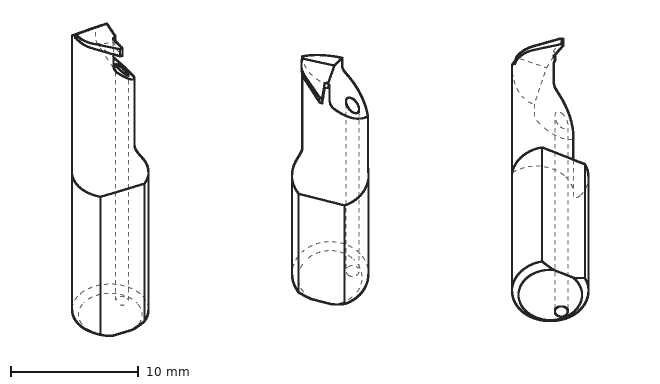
import cadquery as cq
import math

total_length = 30.0
shank_radius = 3.0
shank_flat_x = 2.35
base_chamfer = 0.5

shoulder_z = 15.05
neck_radius = 2.9
neck_center_x = -2.45
shoulder_fillet = 0.72

head_bottom_z = 29.22
head_back_y = 0.1
tip_x = 2.3
tip_y = 0.03
tip_land = 0.2
groove_start_x = 0.78
groove_bottom = (0.93, -0.18)
flank_end = (0.72, -1.83)
flank_middle = (-0.05, -2.37)
head_front = (-1.08, -2.55)
top_relief_angle = 3.6
bottom_relief_angle = 4.5
head_fillet = 0.18
under_head_corner = (0, -1.32, 29.35)

slant_size = 2.15

blend_start_z = 26.7
blend_radius = 1.65
slope_angle = 39.5

coolant_x = -1.08
coolant_y = 1.5
coolant_diameter = 1.02

margin = 1.5
reach = shank_radius + margin


def make_shank():
    """Full-length round bar with a chamfered base."""
    bar = cq.Workplane("XY").circle(shank_radius).extrude(total_length)
    return bar.faces("<Z").chamfer(base_chamfer)


def make_neck_envelope():
    """Everything kept by the neck cut: lower shank, concave flare and neck."""
    flare_radius = neck_radius + shoulder_fillet
    flare_top_z = shoulder_z + shoulder_fillet
    bend = shoulder_fillet * math.sqrt(0.5)
    outer_radius = 3 * shank_radius
    profile = (
        cq.Workplane("XZ")
        .lineTo(outer_radius, 0)
        .lineTo(outer_radius, shoulder_z)
        .lineTo(flare_radius, shoulder_z)
        .threePointArc((flare_radius - bend, flare_top_z - bend), (neck_radius, flare_top_z))
        .lineTo(neck_radius, total_length)
        .lineTo(0, total_length)
        .close()
    )
    return profile.revolve(360, (0, 0, 0), (0, 1, 0)).translate((neck_center_x, 0, 0))


def make_head():
    """Pointed cutting plate with a chip groove and relief on both faces."""
    plan = (
        cq.Workplane("XY")
        .moveTo(neck_center_x, head_back_y)
        .lineTo(groove_start_x, head_back_y)
        .lineTo(*groove_bottom)
        .lineTo(tip_x, tip_y)
        .lineTo(tip_x, tip_y - tip_land)
        .lineTo(*flank_end)
        .threePointArc(flank_middle, head_front)
        .lineTo(neck_center_x, head_back_y)
        .close()
        .extrude(total_length)
    )
    depth = head_back_y + reach
    bottom_rise = depth * math.tan(math.radians(bottom_relief_angle))
    side = (
        cq.Workplane("YZ")
        .polyline([
            (head_back_y, head_bottom_z),
            (head_back_y, total_length),
            (-reach, total_length),
            (-reach, head_bottom_z + bottom_rise),
        ])
        .close()
        .extrude(reach, both=True)
    )
    return plan.intersect(side)


def make_top_relief():
    """Wedge that lowers the top face towards -Y."""
    drop = (head_back_y + reach) * math.tan(math.radians(top_relief_angle))
    return (
        cq.Workplane("YZ")
        .polyline([(head_back_y, total_length), (-reach, total_length), (-reach, total_length - drop)])
        .close()
        .extrude(reach, both=True)
    )


def make_corner_slant():
    """Triangular prism that bevels the top -X corner, tilted to follow the top relief."""
    prism = (
        cq.Workplane("XZ")
        .polyline([
            (-shank_radius, total_length - slant_size),
            (-shank_radius, total_length),
            (-shank_radius + slant_size, total_length),
        ])
        .close()
        .extrude(reach, both=True)
    )
    hinge_start = (0, head_back_y, total_length)
    hinge_end = (1, head_back_y, total_length)
    return prism.rotate(hinge_start, hinge_end, top_relief_angle)


def make_back_clearance():
    """Cutter that clears the +Y half behind the head."""
    def blend_point(angle):
        turn = math.radians(angle)
        y = head_back_y + blend_radius * (1 - math.cos(turn))
        return y, blend_start_z - blend_radius * math.sin(turn)

    blend_end = blend_point(slope_angle)
    slope_run = reach - blend_end[0]
    slope_end_z = blend_end[1] - slope_run / math.tan(math.radians(slope_angle))
    return (
        cq.Workplane("YZ")
        .moveTo(head_back_y, total_length)
        .lineTo(head_back_y, blend_start_z)
        .threePointArc(blend_point(slope_angle / 2), blend_end)
        .lineTo(reach, slope_end_z)
        .lineTo(reach, total_length)
        .close()
        .extrude(reach, both=True)
    )


def make_shank_flat():
    """Block that removes the +X side of the shank."""
    return (
        cq.Workplane("XY")
        .box(reach, 2 * reach, total_length, centered=(False, True, False))
        .translate((shank_flat_x, 0, 0))
    )


coolant_hole = (
    cq.Workplane("XY")
    .center(coolant_x, coolant_y)
    .circle(coolant_diameter / 2)
    .extrude(total_length)
)

body = make_shank().intersect(make_neck_envelope()).union(make_head())
body = body.cut(make_back_clearance()).cut(make_top_relief()).cut(make_corner_slant())
body = body.cut(make_shank_flat()).cut(coolant_hole)
under_head = cq.selectors.NearestToPointSelector(under_head_corner)
result = body.edges(under_head).fillet(head_fillet)